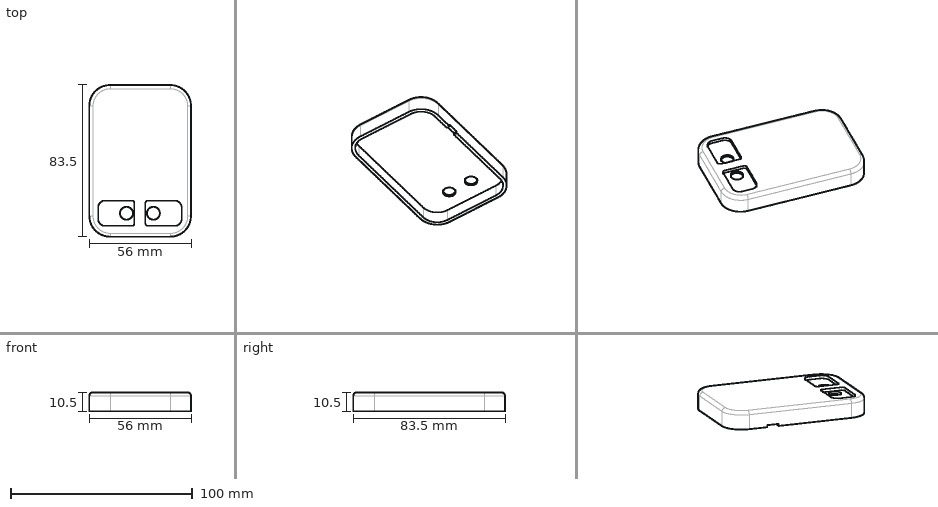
import cadquery as cq

width = 56.0
length = 83.5
height = 10.5
corner_radius = 11.5
top_fillet = 2.0

wall = 2.0
roof = 3.0

recess_pair_x = -0.12
recess_inner_x = 3.0
recess_outer_x = 23.0
recess_y = -28.8
recess_length = 14.0
recess_depth = 1.7
recess_outer_radius = 4.0
recess_inner_radius = 1.5

hole_diameter = 7.0
hole_x = 7.4

notch_y = 16.0
notch_width = 6.7
notch_height = 1.15


def make_shell():
    """Rounded cover with a filleted top edge, open at the bottom."""
    body = (
        cq.Workplane("XY")
        .rect(width, length)
        .extrude(height)
        .edges("|Z")
        .fillet(corner_radius)
        .faces(">Z")
        .edges()
        .fillet(top_fillet)
    )
    cavity = (
        cq.Workplane("XY")
        .rect(width - 2 * wall, length - 2 * wall)
        .extrude(height - roof)
        .edges("|Z")
        .fillet(corner_radius - wall)
    )
    return body.cut(cavity)


def make_recess(side):
    """Recess and its through hole; side is -1 for -X or +1 for +X."""
    recess_width = recess_outer_x - recess_inner_x
    center_x = recess_pair_x + side * (recess_inner_x + recess_outer_x) / 2
    outer_edges = "|Z and >X" if side > 0 else "|Z and <X"
    inner_edges = "|Z and <X" if side > 0 else "|Z and >X"
    recess = (
        cq.Workplane("XY", origin=(center_x, recess_y, height - recess_depth))
        .rect(recess_width, recess_length)
        .extrude(recess_depth)
        .edges(outer_edges)
        .fillet(recess_outer_radius)
        .edges(inner_edges)
        .fillet(recess_inner_radius)
    )
    hole = (
        cq.Workplane("XY", origin=(recess_pair_x + side * hole_x, recess_y, 0))
        .circle(hole_diameter / 2)
        .extrude(height)
    )
    return recess.union(hole)


def make_notch():
    """Rectangular cutter that passes through the -X wall only."""
    return cq.Workplane("XY", origin=(-width / 2, notch_y, 0)).box(
        2 * wall, notch_width, notch_height, centered=(True, True, False)
    )


result = make_shell()
for side in (-1, 1):
    result = result.cut(make_recess(side))
result = result.cut(make_notch())